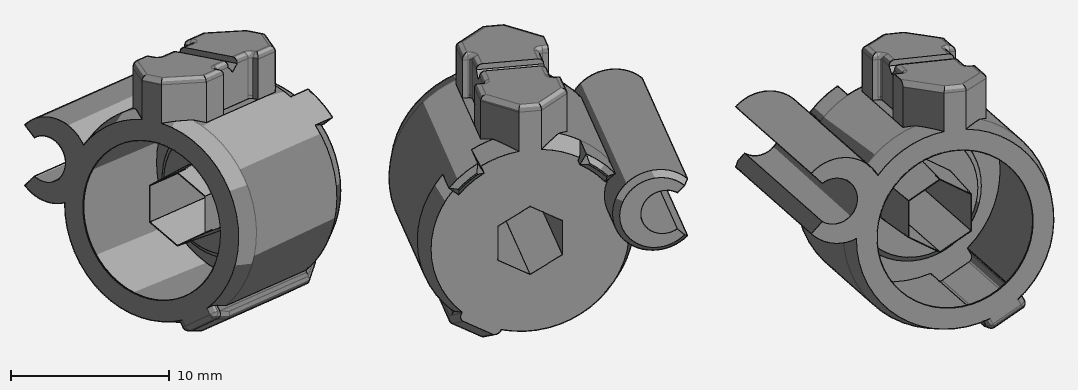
import cadquery as cq
import math


barrel_length = 11.98
barrel_radius = 6.98
front_radius = 6.58
front_taper_length = 1.43
rear_radius = 6.37
rear_taper_length = 1.38
rear_taper_start = barrel_length - rear_taper_length

wall = 0.33
mouth_radius = 5.2
lip_thickness = 0.12
cavity_taper_end = 1.0

hub_root_radius = 4.55
hub_radius = 9.0 / 2
hub_tip_radius = 8.3 / 2
hub_chamfer = hub_radius - hub_tip_radius
hub_tip_depth = 7.65
socket_tip_depth = 2.95
socket_flats = 4.14
socket_tip_flats = 4.2
socket_root_flats = 4.6

clip_length = 15.0
clip_x = -7.6
clip_z = 2.7
clip_radius = 2.83
clip_bore_x = -8.03
clip_bore_radius = 1.51
clip_chamfer = 0.38

tab_end = 12.96
tab_inner_radius = 6.15
tab_start_angle = 40.0
tab_sweep = 20.0
tab_chamfer = 0.37

head_top = 9.44
head_half_width = 2.78
head_end_half_width = 0.73
head_base = 4.99
head_fillet = 0.37
notch_length = 3.95
notch_depth = 0.61
notch_fillet = 0.23
groove_half_width = 0.52
groove_wall_depth = 0.38
groove_depth = 0.8

bump_angle = 30.0
bump_half_width = 1.46
bump_radius = 7.61
bump_front_radius = 7.21
bump_rear_radius = 6.71
bump_base_radius = 5.98
bump_fillet = 0.38
bump_pocket_start = 0.66
bump_floor_radius = 7.35
bump_pocket_half_width = 1.41


def revolve(points):
    """Solid of revolution about the Y axis from (radius, y) points."""
    return cq.Workplane("XY").polyline(points).close().revolve(360, (0, 0, 0), (0, 1, 0))


def cylinder(x, z, radius, length):
    """Cylinder along Y, starting at the front plane."""
    return cq.Workplane("XZ").center(x, z).circle(radius).extrude(-length)


def hexagon(flats):
    """Corners of a hexagon with the given width across flats and a corner at the top."""
    radius = flats / math.sqrt(3)
    angles = [math.radians(90 + 60 * i) for i in range(6)]
    return [(radius * math.cos(a), radius * math.sin(a)) for a in angles]


def make_barrel():
    return revolve([
        (0, 0),
        (front_radius, 0),
        (barrel_radius, front_taper_length),
        (barrel_radius, rear_taper_start),
        (rear_radius, barrel_length),
        (0, barrel_length),
    ])


def make_cavity():
    """Space behind a thin front lip, narrowed at the front and ending where the rear taper starts."""
    return revolve([
        (0, 0),
        (mouth_radius, 0),
        (mouth_radius, lip_thickness),
        (front_radius - wall, lip_thickness),
        (barrel_radius - wall, cavity_taper_end),
        (barrel_radius - wall, rear_taper_start),
        (0, rear_taper_start),
    ])


def make_hub():
    """Drafted hub standing on the cavity floor, with a tapered hexagonal post on its end."""
    hub = revolve([
        (0, hub_tip_depth),
        (hub_tip_radius, hub_tip_depth),
        (hub_radius, hub_tip_depth + hub_chamfer),
        (hub_root_radius, rear_taper_start),
        (0, rear_taper_start),
    ])
    post = (
        cq.Workplane("XZ", origin=(0, socket_tip_depth, 0))
        .polyline(hexagon(socket_tip_flats)).close()
        .workplane(offset=socket_tip_depth - hub_tip_depth)
        .polyline(hexagon(socket_root_flats)).close()
        .loft(ruled=True)
    )
    return hub.union(post)


def make_clip():
    """Snap clip: an eccentric C section open towards -X."""
    return cylinder(clip_x, clip_z, clip_radius, clip_length).faces(">Y").chamfer(clip_chamfer)


def make_clip_opening():
    reach = 2 * clip_radius
    bore = cylinder(clip_bore_x, clip_z, clip_bore_radius, clip_length)
    wedge = (
        cq.Workplane("XZ")
        .polyline([
            (clip_x, clip_z),
            (clip_x - reach, clip_z + reach),
            (clip_x - reach, clip_z - reach),
        ])
        .close()
        .extrude(-clip_length)
    )
    return bore.union(wedge)


def make_tab(start_angle):
    """Curved tab continuing the barrel wall behind the rear face."""
    profile = [
        (tab_inner_radius, rear_taper_start),
        (barrel_radius, rear_taper_start),
        (barrel_radius, tab_end),
        (tab_inner_radius, tab_end),
    ]
    tab = (
        cq.Workplane("XY").polyline(profile).close()
        .revolve(tab_sweep, (0, 0, 0), (0, 1, 0))
        .faces(">Y").edges().chamfer(tab_chamfer)
    )
    return tab.rotate((0, 0, 0), (0, 1, 0), -start_angle - tab_sweep)


def make_notches():
    """Cutters for the waist of the head, with floors level with the barrel at the head's sides."""
    floor = math.sqrt(barrel_radius**2 - head_half_width**2)
    return (
        cq.Workplane("XY", origin=(0, barrel_length / 2, floor))
        .pushPoints([(-head_half_width, 0), (head_half_width, 0)])
        .rect(2 * notch_depth, notch_length)
        .extrude(head_top - floor)
        .edges("|Z").fillet(notch_fillet)
    )


def make_head():
    """Octagonal block with a waist on both sides and a V-bottomed groove across its top."""
    corner = head_half_width - head_end_half_width
    middle = barrel_length / 2
    head = (
        cq.Workplane("XY", origin=(0, middle, head_base))
        .rect(2 * head_half_width, barrel_length)
        .extrude(head_top - head_base)
        .edges("|Z").chamfer(corner)
    )
    head = head.cut(make_notches())
    pick_margin = 0.17
    sharp_edge = cq.selectors.BoxSelector(
        (-head_half_width - pick_margin, corner, head_top - pick_margin),
        (-head_half_width + pick_margin, middle - notch_length / 2, head_top + pick_margin),
    )
    top_edges = head.faces(">Z").edges()
    head = top_edges.edges(cq.selectors.InverseSelector(sharp_edge)).fillet(head_fillet)
    groove_floor_edge = head_top - groove_wall_depth
    groove = (
        cq.Workplane("YZ", origin=(-head_half_width, 0, 0))
        .polyline([
            (middle - groove_half_width, head_top),
            (middle - groove_half_width, groove_floor_edge),
            (middle, head_top - groove_depth),
            (middle + groove_half_width, groove_floor_edge),
            (middle + groove_half_width, head_top),
        ])
        .close()
        .extrude(2 * head_half_width)
    )
    return head.cut(groove)


def turn_to_bump(shape):
    return shape.rotate((0, 0, 0), (0, 1, 0), -bump_angle)


def make_bump():
    """Raised strip along the lower right of the barrel, tapered at both ends."""
    bump = (
        cq.Workplane("YZ", origin=(-bump_half_width, 0, 0))
        .polyline([
            (0, -bump_base_radius),
            (0, -bump_front_radius),
            (front_taper_length, -bump_radius),
            (rear_taper_start, -bump_radius),
            (barrel_length, -bump_rear_radius),
            (barrel_length, -bump_base_radius),
        ])
        .close()
        .extrude(2 * bump_half_width)
    )
    long_edges = bump.edges("(<X or >X) and (not |Z) and (not >Z)")
    front_edges = bump.faces("<Y").edges("not >Z")
    return turn_to_bump(long_edges.add(front_edges).fillet(bump_fillet))


def make_bump_pocket():
    """Recess in the cavity wall behind the bump."""
    pocket = (
        cq.Workplane("XY")
        .box(2 * bump_pocket_half_width, rear_taper_start - bump_pocket_start,
             bump_floor_radius, centered=(True, False, False))
        .translate((0, bump_pocket_start, -bump_floor_radius))
        .faces("<Z").edges("|Y").fillet(bump_fillet)
    )
    return turn_to_bump(pocket)


body = make_barrel().union(make_clip()).union(make_head()).union(make_bump())
for start_angle in (tab_start_angle, 180 - tab_start_angle - tab_sweep):
    body = body.union(make_tab(start_angle))
body = body.cut(make_notches()).cut(make_clip_opening())
body = body.cut(make_cavity()).cut(make_bump_pocket())

socket = cq.Workplane("XZ").polyline(hexagon(socket_flats)).close().extrude(-barrel_length)
result = body.union(make_hub()).cut(socket)